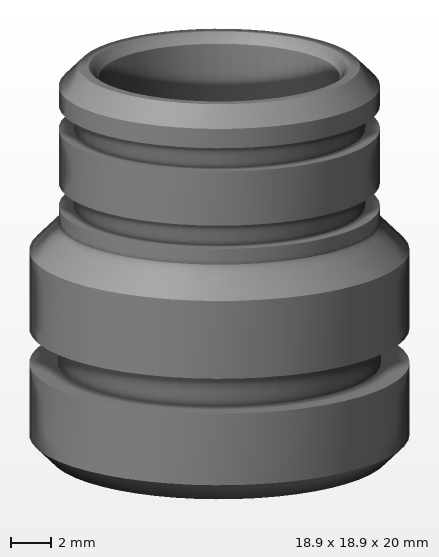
import cadquery as cq

height = 20.0
body_diameter = 18.95
body_radius = body_diameter / 2
neck_radius = 8.0
bore_radius = 6.0

end_chamfer = 1.0
bore_chamfer = 0.5
shoulder_bottom = 10.52
shoulder_top = shoulder_bottom + body_radius - neck_radius

body_groove_bottom = 4.7
body_groove_width = 1.8
body_groove_radius = 8.05
neck_groove_bottoms = (12.8, 16.8)
neck_groove_width = 1.2
neck_groove_radius = 7.25


def make_blank():
    """Revolve the stepped tube, with its chamfers and conical shoulder, about Z."""
    profile = [
        (bore_radius, 0),
        (body_radius - end_chamfer, 0),
        (body_radius, end_chamfer),
        (body_radius, shoulder_bottom),
        (neck_radius, shoulder_top),
        (neck_radius, height - end_chamfer),
        (neck_radius - end_chamfer, height),
        (bore_radius + bore_chamfer, height),
        (bore_radius, height - bore_chamfer),
    ]
    return cq.Workplane("XZ").polyline(profile).close().revolve(360, (0, 0, 0), (0, 1, 0))


def make_groove(bottom, width, outer_radius, floor_radius):
    """Ring of material to remove for one square groove."""
    return (
        cq.Workplane("XY")
        .workplane(offset=bottom)
        .circle(outer_radius)
        .circle(floor_radius)
        .extrude(width)
    )


result = make_blank()
result = result.cut(make_groove(body_groove_bottom, body_groove_width, body_radius, body_groove_radius))
for groove_bottom in neck_groove_bottoms:
    result = result.cut(make_groove(groove_bottom, neck_groove_width, neck_radius, neck_groove_radius))